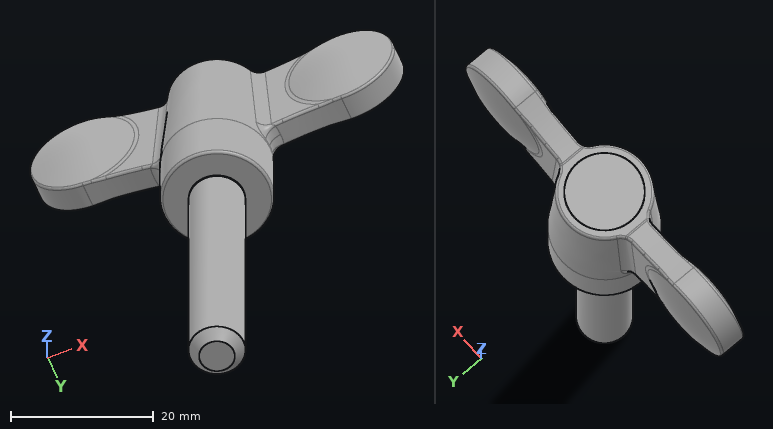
import cadquery as cq
import math

pin_diameter = 8.0
pin_length = 40.0
pin_tip_chamfer = 1.5
neck_diameter = 7.95
neck_height = 0.2

hub_diameter = 16.0
hub_top_diameter = 13.9
hub_base_height = 8.4
hub_height = 25.3
hub_bottom_round = 0.4

cap_bore_diameter = 11.3
cap_diameter = 11.25
cap_gap_depth = 0.3

wing_span = 55.0
wing_thickness = 4.0
lobe_radius = 8.0
lobe_height = 20.0
flank_radius = 50.0
top_tangent_angle = math.radians(18.7)
bottom_tangent_angle = math.radians(180.0)

dome_base_radius = 8.15
dome_rise = 1.5
dome_blend_radius = 1.8

junction_round = 2.0
edge_round = 0.4
saddle_round = 2.0

split_x = 10.6
blank_height = 32.0
margin = 0.2

hub_radius = hub_diameter / 2
hub_top_radius = hub_top_diameter / 2
lobe_offset = wing_span / 2 - lobe_radius
face_y = wing_thickness / 2
flank_reach = lobe_radius + flank_radius


def lobe_point(angle):
    """Point (x, z) on the +X lobe rim, angle measured from +Z towards the hub."""
    x = lobe_offset - lobe_radius * math.sin(angle)
    z = lobe_height + lobe_radius * math.cos(angle)
    return (x, z)


def flank_center(tangent_angle):
    """Centre (x, z) of the flank arc that touches the lobe at tangent_angle."""
    x = lobe_offset - flank_reach * math.sin(tangent_angle)
    z = lobe_height + flank_reach * math.cos(tangent_angle)
    return (x, z)


def flank_point(tangent_angle, x):
    """Point at x on the flank arc that touches the lobe at tangent_angle."""
    center_x, center_z = flank_center(tangent_angle)
    rise = math.sqrt(flank_radius**2 - (x - center_x) ** 2)
    side = math.copysign(1, math.cos(tangent_angle))
    return (x, center_z - side * rise)


def rim_edges(wing):
    """Long edges of a wing's curved perimeter."""
    return wing.faces("%CYLINDER").edges("not |Y")


def make_hub_blank():
    """Hub of revolution whose taper runs on to the blank height."""
    taper = (hub_radius - hub_top_radius) / (hub_height - hub_base_height)
    blank_top_radius = hub_radius - taper * (blank_height - hub_base_height)
    profile = [
        (0, 0),
        (hub_radius, 0),
        (hub_radius, hub_base_height),
        (blank_top_radius, blank_height),
        (0, blank_height),
    ]
    return cq.Workplane("XZ").polyline(profile).close().revolve(360, (0, 0, 0), (0, 1, 0))


def make_wing_root():
    """Inner part of the +X wing, untrimmed at the top, lower edges rounded."""
    root = (
        cq.Workplane("XZ")
        .moveTo(0, blank_height)
        .lineTo(split_x, blank_height)
        .lineTo(*flank_point(bottom_tangent_angle, split_x))
        .threePointArc(
            flank_point(bottom_tangent_angle, split_x / 2),
            flank_point(bottom_tangent_angle, 0),
        )
        .close()
        .extrude(face_y, both=True)
    )
    return rim_edges(root).fillet(edge_round)


def make_top_trim():
    """Everything above the flat hub top and the two rising top flanks."""
    center_x, center_z = flank_center(top_tangent_angle)
    saddle_x = center_x + math.sqrt(flank_radius**2 - (center_z - hub_height) ** 2)
    end_x, end_z = lobe_point(top_tangent_angle)
    middle_x, middle_z = flank_point(top_tangent_angle, (saddle_x + end_x) / 2)
    trim_top = 2 * blank_height
    trim = (
        cq.Workplane("XZ")
        .moveTo(-saddle_x, hub_height)
        .lineTo(saddle_x, hub_height)
        .threePointArc((middle_x, middle_z), (end_x, end_z))
        .lineTo(end_x, trim_top)
        .lineTo(-end_x, trim_top)
        .lineTo(-end_x, end_z)
        .threePointArc((-middle_x, middle_z), (-saddle_x, hub_height))
        .close()
        .extrude(hub_diameter, both=True)
    )
    saddle_edges = trim.faces("|Z").faces("<Z").edges("|Y")
    return saddle_edges.fillet(saddle_round)


def make_core():
    """Hub and wing roots, blended together, trimmed and rounded along the top."""
    root = make_wing_root()
    core = make_hub_blank().union(root).union(root.mirror("YZ"))
    near_x = hub_top_radius / 2
    far_x = hub_radius + margin
    half_width = face_y + margin
    lowest = hub_base_height + margin
    for side in (1, -1):
        junction = cq.selectors.BoxSelector(
            (side * near_x, -half_width, lowest),
            (side * far_x, half_width, blank_height + margin),
            boundingbox=True,
        )
        core = core.edges(junction).fillet(junction_round)
    core = core.cut(make_top_trim())
    for side in (1, -1):
        top_rim = cq.selectors.BoxSelector(
            (-split_x - margin, 0, hub_height - margin),
            (split_x + margin, side * (hub_radius + margin), blank_height),
            boundingbox=True,
        )
        core = core.edges(top_rim).fillet(edge_round)
    return core.faces("<Z").edges().fillet(hub_bottom_round)


def make_wing_plate(thickness):
    """Prism with the outline of the +X wing, centred on the XZ plane."""
    top_start = lobe_point(top_tangent_angle)
    bottom_start = lobe_point(bottom_tangent_angle)
    return (
        cq.Workplane("XZ")
        .moveTo(*flank_point(top_tangent_angle, split_x))
        .threePointArc(
            flank_point(top_tangent_angle, (split_x + top_start[0]) / 2),
            top_start,
        )
        .threePointArc((lobe_offset + lobe_radius, lobe_height), bottom_start)
        .threePointArc(
            flank_point(bottom_tangent_angle, (split_x + bottom_start[0]) / 2),
            flank_point(bottom_tangent_angle, split_x),
        )
        .close()
        .extrude(thickness / 2, both=True)
    )


def make_domes():
    """Lens about the lobe axis: a spherical dome on each face, flared into it."""
    sphere_radius = (dome_base_radius**2 + dome_rise**2) / (2 * dome_rise)
    sphere_y = face_y + dome_rise - sphere_radius
    blend_y = face_y + dome_blend_radius
    center_distance = sphere_radius + dome_blend_radius
    blend_x = math.sqrt(center_distance**2 - (blend_y - sphere_y) ** 2)
    touch_angle = math.asin(blend_x / center_distance)
    half_angle = touch_angle / 2

    def sphere_point(angle):
        return (sphere_radius * math.sin(angle), sphere_y + sphere_radius * math.cos(angle))

    blend_middle = (
        blend_x - dome_blend_radius * math.sin(half_angle),
        blend_y - dome_blend_radius * math.cos(half_angle),
    )
    half_lens = (
        cq.Workplane("XY")
        .moveTo(0, 0)
        .lineTo(0, face_y + dome_rise)
        .threePointArc(sphere_point(half_angle), sphere_point(touch_angle))
        .threePointArc(blend_middle, (blend_x, face_y))
        .lineTo(blend_x, 0)
        .close()
        .revolve(360, (0, 0, 0), (0, 1, 0))
    )
    lens = half_lens.union(half_lens.mirror("XZ"))
    return lens.translate((lobe_offset, 0, lobe_height))


def make_outer_wing():
    """The +X wing from the split plane outwards, domed and with a rounded rim."""
    dome_envelope = make_wing_plate(2 * (wing_thickness + dome_rise))
    domes = make_domes().intersect(dome_envelope)
    wing = make_wing_plate(wing_thickness).union(domes)
    return rim_edges(wing).fillet(edge_round)


def make_pin():
    """Pin below the hub, with a chamfered tip and a slightly thinner neck at the hub."""
    neck = cq.Workplane("XY").circle(neck_diameter / 2).extrude(-neck_height)
    shank = (
        cq.Workplane("XY")
        .workplane(offset=-neck_height)
        .circle(pin_diameter / 2)
        .extrude(neck_height - pin_length)
        .faces("<Z")
        .chamfer(pin_tip_chamfer)
    )
    return neck.union(shank)


def make_cap_gap():
    """Hairline ring between the cap and its bore."""
    return (
        cq.Workplane("XY")
        .workplane(offset=hub_height)
        .circle(cap_bore_diameter / 2)
        .circle(cap_diameter / 2)
        .extrude(-cap_gap_depth)
    )


outer_wing = make_outer_wing()
result = make_core().cut(make_cap_gap())
result = result.union(outer_wing).union(outer_wing.mirror("YZ"))
result = result.union(make_pin())